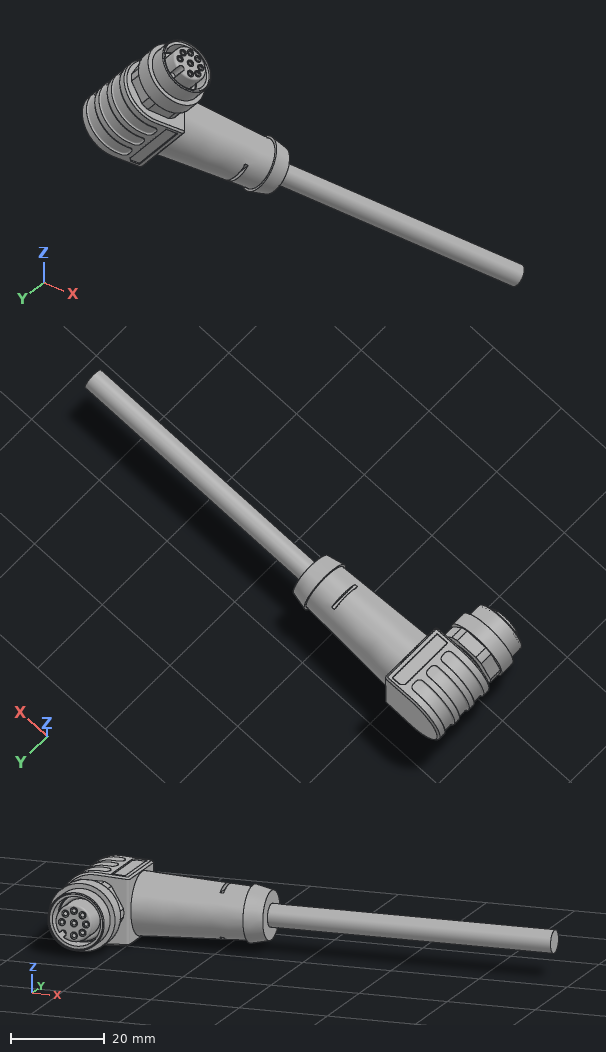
import cadquery as cq
import math


head_radius = 8.0
head_taper = 3.0
head_end_x = 8.0
head_half_width = 8.0
head_chamfer = 0.4
head_corner_radius = 0.7

groove_count = 3
groove_pitch = 4.5
groove_width = 3.0
groove_depth = 0.38
groove_end_x = 2.4
groove_corner_radius = 1.1
groove_floor_fillet = 0.3

label_start_x = 3.6
label_end_x = 6.7
label_half_width = 6.9
label_depth = 0.3
label_corner = 0.8

sleeve_start_radius = 7.0
sleeve_end_radius = 5.8
collar_start_x = 33.2
collar_end_x = 37.4
collar_radius = 12.8 / 2
collar_end_radius = 11.0 / 2
cable_radius = 5.2 / 2
overall_length = 109.7
cable_end_x = overall_length - head_radius

slot_x = 27.4
slot_width = 0.8
slot_floor_z = 4.9

nut_start = 9.0
ring_start = 12.1
barrel_start = 15.6
barrel_end = 19.5
plug_end = 20.7
neck_radius = 9.3 / 2
nut_radius = 7.1
nut_across_flats = 13.2
nut_flat_count = 6
ring_radius = 15.0 / 2
barrel_radius = 12.8 / 2
barrel_chamfer = 0.2
bore_radius = 11.0 / 2
bore_mouth_radius = 12.3 / 2
bore_mouth_depth = 0.5
bore_floor = 15.4

seal_circle_radius = 9.3 / 2
seal_section_radius = 0.5

insert_radius = 4.2
insert_fillet = 0.5
contact_diameter = 0.9
contact_circle_radius = 2.7
contact_depth = 3.3
contact_entry_diameter = 1.5
contact_entry_depth = 0.2
key_angle = 225.0
key_radius = 0.7
key_circle_radius = 3.4
key_depth = 3.3
contact_step = 45.0
contact_count = 7


def head_outline(radius):
    """Round nose with two tangent sides converging towards the cable, drawn across the plug axis."""
    slope = math.radians(head_taper)
    tangent_x = radius * math.sin(slope)
    tangent_z = radius * math.cos(slope)
    end_z = (radius - head_end_x * math.sin(slope)) / math.cos(slope)
    return (
        cq.Workplane("XZ")
        .moveTo(tangent_x, tangent_z)
        .threePointArc((-radius, 0), (tangent_x, -tangent_z))
        .lineTo(head_end_x, -end_z)
        .lineTo(head_end_x, end_z)
        .close()
    )


def plug_disc(radius, start, end):
    """Cylinder on the plug axis between two distances along -Y."""
    return cq.Workplane("XZ").workplane(offset=start).circle(radius).extrude(end - start)


def make_head():
    block = head_outline(head_radius).extrude(head_half_width, both=True)
    block = block.edges("|Z and >X").fillet(head_corner_radius)
    return block.faces("<Y or >Y or >X").chamfer(head_chamfer)


def groove_cutter(center_y):
    """Band around the nose, with rounded ends on the top and bottom sides."""
    length = groove_end_x + 2 * head_radius
    band = (
        cq.Workplane("XY")
        .center(groove_end_x - length / 2, center_y)
        .rect(length, groove_width)
        .extrude(2 * head_radius, both=True)
        .edges("|Z and >X")
        .fillet(groove_corner_radius)
    )
    core = head_outline(head_radius - groove_depth).extrude(head_half_width, both=True)
    floor_edges = cq.selectors.BoxSelector(
        (-head_radius, -head_half_width, -head_radius),
        (head_radius, head_half_width, head_radius),
    )
    return band.cut(core).edges(floor_edges).fillet(groove_floor_fillet)


def label_cutter():
    panel = (
        cq.Workplane("XY")
        .center((label_start_x + label_end_x) / 2, 0)
        .rect(label_end_x - label_start_x, 2 * label_half_width)
        .extrude(2 * head_radius, both=True)
        .edges("|Z and <X and >Y")
        .chamfer(label_corner)
    )
    core = head_outline(head_radius - label_depth).extrude(head_half_width, both=True)
    return panel.cut(core)


def make_sleeve_and_cable():
    profile = (
        cq.Workplane("XY")
        .moveTo(0, 0)
        .lineTo(0, cable_radius)
        .lineTo(head_end_x, sleeve_start_radius)
        .lineTo(collar_start_x, sleeve_end_radius)
        .lineTo(collar_start_x, collar_radius)
        .lineTo(collar_end_x, collar_end_radius)
        .lineTo(collar_end_x, cable_radius)
        .lineTo(cable_end_x, cable_radius)
        .lineTo(cable_end_x, 0)
        .close()
    )
    body = profile.revolve(360, (0, 0, 0), (1, 0, 0))
    for side in (1, -1):
        slot = cq.Workplane("XY").box(slot_width, 2 * collar_radius, 2 * collar_radius)
        body = body.cut(slot.translate((slot_x, 0, side * (slot_floor_z + collar_radius))))
    return body


def make_coupling():
    flats = (
        cq.Workplane("XZ")
        .workplane(offset=nut_start)
        .polygon(nut_flat_count, nut_across_flats, circumscribed=True)
        .extrude(ring_start - nut_start)
        .rotate((0, 0, 0), (0, 1, 0), 180 / nut_flat_count)
    )
    nut = plug_disc(nut_radius, nut_start, ring_start).intersect(flats)
    ring = plug_disc(ring_radius, ring_start, barrel_start)
    barrel = plug_disc(barrel_radius, barrel_start, barrel_end)
    barrel = barrel.faces("<Y").edges().chamfer(barrel_chamfer)
    neck = plug_disc(neck_radius, 0, ring_start)
    bore = plug_disc(bore_radius, bore_floor, barrel_end)
    mouth = plug_disc(bore_mouth_radius, barrel_end - bore_mouth_depth, barrel_end)
    return neck.union(nut).union(ring).union(barrel).cut(bore).cut(mouth)


def make_seal():
    return (
        cq.Workplane("XY")
        .center(seal_circle_radius, -bore_floor)
        .circle(seal_section_radius)
        .revolve(360, (-seal_circle_radius, 0, 0), (-seal_circle_radius, 1, 0))
    )


def contact_cutter():
    """Contact hole with a wider, shallow entry."""
    hole = plug_disc(contact_diameter / 2, plug_end - contact_depth, plug_end)
    entry = plug_disc(contact_entry_diameter / 2, plug_end - contact_entry_depth, plug_end)
    return hole.union(entry)


def make_insert():
    insert = plug_disc(insert_radius, 0, plug_end).faces("<Y").edges().fillet(insert_fillet)
    insert = insert.cut(contact_cutter())
    for index in range(contact_count):
        angle = math.radians(key_angle + contact_step * (index + 1))
        x = contact_circle_radius * math.cos(angle)
        z = contact_circle_radius * math.sin(angle)
        insert = insert.cut(contact_cutter().translate((x, 0, z)))
    keyway = plug_disc(key_radius, plug_end - key_depth, plug_end)
    channel = cq.Workplane("XY").box(insert_radius, key_depth, 2 * key_radius)
    keyway = keyway.union(channel.translate((insert_radius / 2, key_depth / 2 - plug_end, 0)))
    keyway = keyway.translate((key_circle_radius, 0, 0))
    return insert.cut(keyway.rotate((0, 0, 0), (0, 1, 0), -key_angle))


head = make_head()
for index in range(groove_count):
    head = head.cut(groove_cutter((index - (groove_count - 1) / 2) * groove_pitch))
head = head.cut(label_cutter())

result = head.union(make_sleeve_and_cable()).union(make_coupling()).union(make_seal()).union(make_insert())